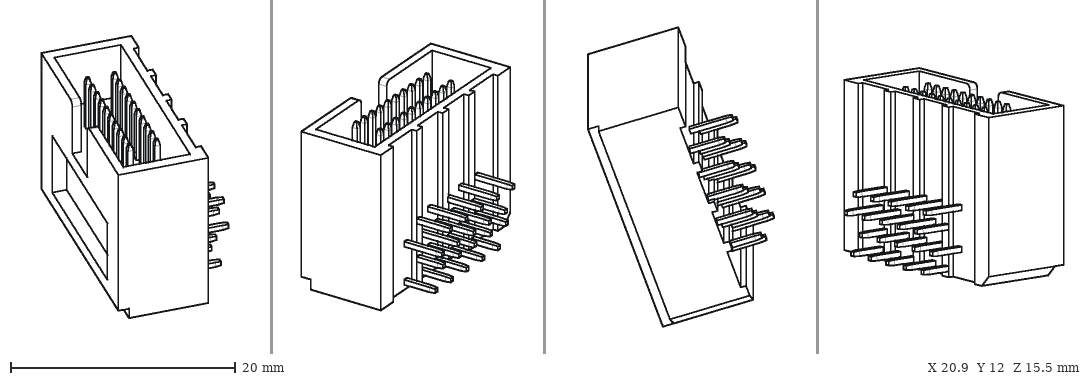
import cadquery as cq


width = 20.95
depth = 8.5
height = 15.5
base_step = 1.0

side_wall = 1.09
front_wall = 0.85
cavity_depth = 5.49
rib_depth = 0.5
back_wall = front_wall + rib_depth
cavity_length_y = depth - front_wall - back_wall
cavity_floor = height - cavity_depth

notch_width = 4.1
notch_radius = 0.5

pocket_width = 15.0
pocket_height = 6.05
pocket_depth = 1.36
pocket_bottom = 2.45

end_rib_width = 2.03
mid_rib_width = 0.96
mid_rib_spacing = 4.21

columns = 10
column_span = 11.42
pitch = column_span / (columns - 1)
row_spacing = 2 * pitch
pin_width = 0.48
pin_thickness = 0.5
pin_tip_size = 0.25
pin_tip_length = 0.52
pin_top = height - 0.27
row_centre = front_wall + cavity_length_y / 2
embedding = 0.42

tail_tip_size = 0.4
tail_tip_length = 0.59
tail_level_spacing = 1.5 * pitch
top_tail_level = 6.5
long_tail_end = 12.0
short_tail_end = 11.3
recessed_back = depth - rib_depth


def block(x_size, y_size, z_size, x_centre, y_start, z_start):
    """Box centred on x_centre, growing in +Y and +Z from its start."""
    blank = cq.Workplane("XY").box(x_size, y_size, z_size, centered=(True, False, False))
    return blank.translate((x_centre, y_start, z_start))


def pointed_bar(plane, length, tip_size, tip_length):
    """Rectangular bar along the plane's normal, ending in a tapered tip."""
    shaft = cq.Workplane(plane).rect(pin_width, pin_thickness).extrude(length - tip_length)
    tip = (
        cq.Workplane(plane)
        .workplane(offset=length - tip_length)
        .rect(pin_width, pin_thickness)
        .workplane(offset=tip_length)
        .rect(tip_size, tip_size)
        .loft(ruled=True)
    )
    return shaft.union(tip)


def make_shell():
    """Solid housing block with full-height ribs along its back."""
    shell = block(width, recessed_back, height, 0, 0, 0)
    end_rib_x = (width - end_rib_width) / 2
    for x in (-end_rib_x, end_rib_x):
        shell = shell.union(block(end_rib_width, back_wall, height, x, depth - back_wall, 0))
    for x in (-mid_rib_spacing, 0, mid_rib_spacing):
        shell = shell.union(block(mid_rib_width, back_wall, height, x, depth - back_wall, 0))
    return shell


def cut_base(shell):
    """Step the base back from the front and chamfer its lower -X edge."""
    shell = shell.cut(block(width, base_step, base_step, 0, 0, 0))
    chamfer = (
        cq.Workplane("XZ")
        .moveTo(-width / 2, 0)
        .lineTo(-width / 2 + base_step, 0)
        .lineTo(-width / 2, base_step)
        .close()
        .extrude(-depth)
    )
    return shell.cut(chamfer)


def cut_openings(shell):
    """Open the mating cavity, the front pocket and the keying notch."""
    cavity = block(width - 2 * side_wall, cavity_length_y, cavity_depth, 0, front_wall, cavity_floor)
    pocket = block(pocket_width, pocket_depth, pocket_height, 0, 0, pocket_bottom)
    half_notch = notch_width / 2
    notch = (
        cq.Workplane("XZ")
        .moveTo(-half_notch, cavity_floor)
        .lineTo(half_notch, cavity_floor)
        .lineTo(half_notch, height - notch_radius)
        .radiusArc((half_notch + notch_radius, height), notch_radius)
        .lineTo(-half_notch - notch_radius, height)
        .radiusArc((-half_notch, height - notch_radius), notch_radius)
        .close()
        .extrude(-front_wall)
    )
    return shell.cut(cavity).cut(pocket).cut(notch)


def make_contacts():
    """Two pins and two tails per column; tail levels alternate between neighbours."""
    pin_start = cavity_floor - embedding
    tail_start = recessed_back - embedding
    tail_plane = cq.Plane(origin=(0, 0, 0), xDir=(1, 0, 0), normal=(0, 1, 0))
    pin = pointed_bar("XY", pin_top - pin_start, pin_tip_size, pin_tip_length)
    tails = [
        pointed_bar(tail_plane, end - tail_start, tail_tip_size, tail_tip_length)
        for end in (long_tail_end, short_tail_end)
    ]
    contacts = []
    for column in range(columns):
        x = column * pitch - column_span / 2
        for side in (-1, 1):
            y = row_centre + side * row_spacing / 2
            contacts.append(pin.translate((x, y, pin_start)))
        stagger = column % 2
        for pair, tail in enumerate(tails):
            z = top_tail_level - (2 * pair + stagger) * tail_level_spacing
            contacts.append(tail.translate((x, tail_start, z)))
    return contacts


result = cut_openings(cut_base(make_shell()))
for contact in make_contacts():
    result = result.union(contact)